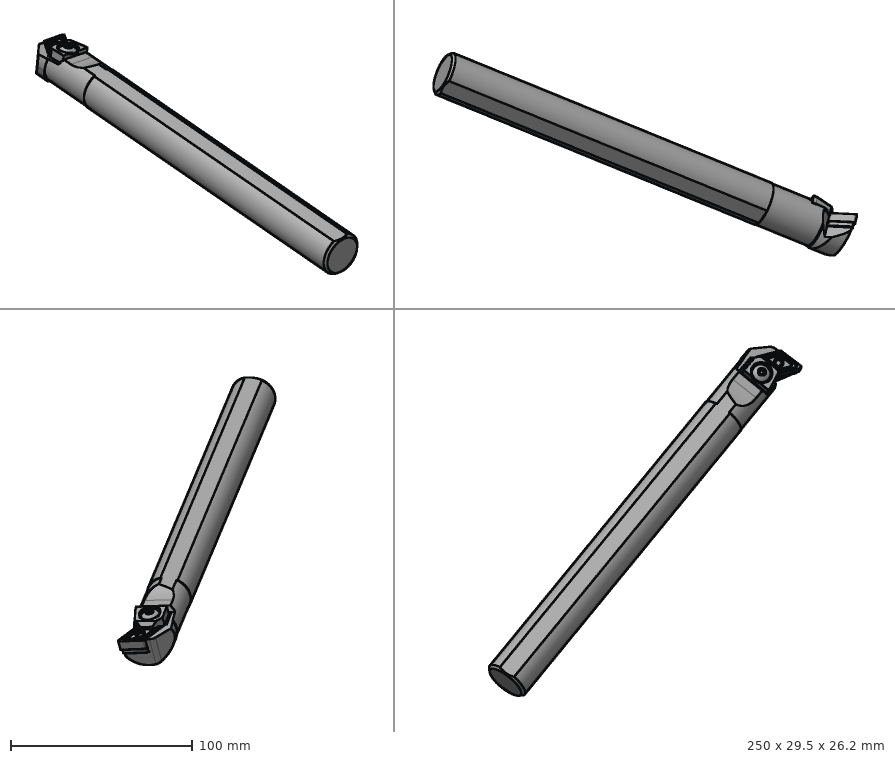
import cadquery as cq
import math

LENGTH = 250.0
SHANK_RADIUS = 12.5
NECK_RADIUS = 12.2
FLAT_HEIGHT = 11.5
NECK_END = 50.0
END_CHAMFER = 1.5
CLEAR = 50.0

HEAD_OFFSET = 2.2
HEAD_RADIUS = SHANK_RADIUS + HEAD_OFFSET
HEAD_END = 17.5
SWELL_SLOPE = 0.5
FRONT_ROUND = 4.5

TILT_X = math.radians(5.0)
TILT_Y = math.radians(11.0)
TOOL_PLANE = cq.Plane(
    origin=(0, 0, 3.8),
    xDir=(1, 0, math.tan(TILT_X)),
    normal=(-math.tan(TILT_X), math.tan(TILT_Y), 1),
)

WALL_START = 25.5
WALL_LEAN = math.radians(30.0)

RUNOUT_HEIGHT = 9.0
RUNOUT_START = WALL_START
RUNOUT_FLAT_END = 32.5
RUNOUT_RADIUS = 22.5

INSERT_CIRCLE = 12.8
INSERT_ANGLE = 55.0
INSERT_THICKNESS = 6.0
INSERT_NOSE = 0.8
INSERT_HOLE = 5.2
INSERT_CENTER = (6.5, 6.0)
INSERT_TURN = 119.5
LAND_WIDTH = 1.2
GROOVE_WIDTH = 1.2
GROOVE_DEPTH = 0.5

SHIM_THICKNESS = 3.0
SHIM_INSET = 0.5

PIN_DIAMETER = 3.5
PIN_DROP = 1.0

CLAMP_HEIGHT = 4.2
CLAMP_NOSE_X = 10.0
CLAMP_TAIL_X = 25.2
CLAMP_SIDE_Y = -5.8
NOSE_CHAMFER = 2.2
CLAMP_SEAT_DEPTH = 1.2
SEAT_GAP = 1.8
SCREW_CENTER = (19.5, 2.8)
SCREW_RADIUS = 5.2
SCREW_RISE = 0.8
CROWN_RADIUS = 2.2
SCREW_RECESS = 1.2
SCREW_GAP = 0.8
SOCKET_WIDTH = 3.0
SOCKET_DEPTH = 1.5


def x_cylinder(radius, start, end, y=0.0):
    return cq.Workplane("YZ", origin=(start, y, 0)).circle(radius).extrude(end - start)


def tool_sketch(height=0.0):
    """A workplane parallel to the tool plane, the given height above it."""
    return cq.Workplane(TOOL_PLANE).workplane(offset=height)


def diamond(bottom, top, inset=0.0):
    """Prism with the insert's outline, shrunk by the inset, between two heights above the tool plane."""
    half_angle = math.radians(INSERT_ANGLE / 2)
    inner_radius = INSERT_CIRCLE / 2 - inset
    half_long = inner_radius / math.sin(half_angle)
    half_short = inner_radius / math.cos(half_angle)
    return (
        tool_sketch(bottom)
        .center(*INSERT_CENTER)
        .transformed(rotate=(0, 0, INSERT_TURN))
        .polyline([(half_long, 0), (0, half_short), (-half_long, 0), (0, -half_short)])
        .close()
        .extrude(top - bottom)
        .edges(cq.selectors.ParallelDirSelector(TOOL_PLANE.zDir))
        .fillet(INSERT_NOSE)
    )


def half_space(bottom):
    """Block that spans the part in X and Y and rises from the given Z by the clearance."""
    block = cq.Workplane("XY", origin=(0, 0, bottom))
    return block.box(3 * LENGTH, CLEAR, CLEAR, centered=(True, True, False))


def make_shank():
    """Round shank with the lower flat."""
    shank = x_cylinder(SHANK_RADIUS, NECK_END, LENGTH).faces(">X").chamfer(END_CHAMFER)
    return shank.cut(half_space(-FLAT_HEIGHT - CLEAR))


def make_neck():
    """Round neck; in the head it thickens to the shank radius."""
    neck = x_cylinder(NECK_RADIUS, HEAD_END, NECK_END)
    return neck.union(x_cylinder(SHANK_RADIUS, -CLEAR, HEAD_END))


def make_swelling():
    """Lower half of the eccentric cylinder, tapering into the neck at its rear end."""
    cylinder = x_cylinder(HEAD_RADIUS, -CLEAR, HEAD_END, HEAD_OFFSET)
    taper_length = HEAD_END + CLEAR
    front_radius = NECK_RADIUS + SWELL_SLOPE * taper_length
    taper = (
        cq.Workplane("XY")
        .polyline([(-CLEAR, 0), (-CLEAR, front_radius), (HEAD_END, NECK_RADIUS), (HEAD_END, 0)])
        .close()
        .revolve(360, (0, 0, 0), (1, 0, 0))
    )
    return cylinder.intersect(half_space(-CLEAR)).intersect(taper)


def make_head_envelope():
    """Prism square to the tool plane that gives the head its front, corner and insert-side faces."""
    tip, front_corner, chamfer_end = (0.8, 15.5), (1.5, -2.5), (21.5, -20.5)
    throat, neck_side = (12.5, 8.0), (21.2, 16.2)
    rear = NECK_END + CLEAR
    outline = [tip, front_corner, chamfer_end, (rear, chamfer_end[1]), (rear, CLEAR),
               (neck_side[0], CLEAR), neck_side, throat]
    prism = tool_sketch(-CLEAR).polyline(outline).close().extrude(2 * CLEAR)
    corner_edge = cq.selectors.NearestToPointSelector(
        TOOL_PLANE.toWorldCoords((*front_corner, 0)).toTuple()
    )
    return prism.edges(corner_edge).fillet(FRONT_ROUND)


def make_head_top_cut():
    """Everything above the tool plane, back to the backward-leaning wall behind the clamp."""
    wall_top = WALL_START + CLEAR * math.tan(WALL_LEAN)
    return (
        cq.Workplane(TOOL_PLANE)
        .transformed(rotate=(90, 0, 0))
        .polyline([(-CLEAR, 0), (WALL_START, 0), (wall_top, CLEAR), (-CLEAR, CLEAR)])
        .close()
        .extrude(CLEAR, both=True)
    )


def make_runout_cut():
    """Flat behind the clamp wall, then a round rise back to the top of the bar."""
    arc_center_height = RUNOUT_HEIGHT + RUNOUT_RADIUS
    reach = RUNOUT_RADIUS * math.sin(math.radians(45))
    profile = (
        cq.Workplane("XZ")
        .moveTo(RUNOUT_START, RUNOUT_HEIGHT)
        .lineTo(RUNOUT_FLAT_END, RUNOUT_HEIGHT)
        .threePointArc(
            (RUNOUT_FLAT_END + reach, arc_center_height - reach),
            (RUNOUT_FLAT_END + RUNOUT_RADIUS, arc_center_height),
        )
        .lineTo(RUNOUT_START, arc_center_height)
        .close()
        .extrude(CLEAR, both=True)
    )
    return profile.rotate((0, 0, 0), (1, 0, 0), -math.degrees(TILT_Y))


def make_clamp():
    """Clamp block with a sloping nose over the insert; its foot sits in a recess of the head."""
    nose_corners = [(CLAMP_NOSE_X, 6.5), (CLAMP_NOSE_X, -0.8)]
    side_corners = [(15.2, CLAMP_SIDE_Y), (CLAMP_TAIL_X, CLAMP_SIDE_Y)]
    insert_side_corners = [(CLAMP_TAIL_X, 12.0), (23.0, 12.0), (13.2, 10.0)]
    outline = nose_corners + side_corners + insert_side_corners
    block = tool_sketch().polyline(outline).close().extrude(CLAMP_HEIGHT)
    nose_bevel = (
        cq.Workplane(TOOL_PLANE)
        .transformed(rotate=(90, 0, 0))
        .polyline([
            (CLAMP_NOSE_X, CLAMP_HEIGHT - NOSE_CHAMFER),
            (CLAMP_NOSE_X, CLAMP_HEIGHT),
            (CLAMP_NOSE_X + NOSE_CHAMFER, CLAMP_HEIGHT),
        ])
        .close()
        .extrude(CLEAR, both=True)
    )
    foot = tool_sketch(-CLAMP_SEAT_DEPTH).polyline(outline).close().extrude(CLAMP_SEAT_DEPTH)
    foot = foot.cut(diamond(-CLAMP_SEAT_DEPTH, 0))
    recess = (
        tool_sketch(CLAMP_HEIGHT - SCREW_RECESS)
        .center(*SCREW_CENTER)
        .circle(SCREW_RADIUS + SCREW_GAP)
        .extrude(SCREW_RECESS)
    )
    return block.cut(nose_bevel).cut(recess).union(foot)


def make_clamp_screw():
    """Domed screw head with a hexagonal socket."""
    bottom = CLAMP_HEIGHT - SCREW_RECESS
    crown = SCREW_RECESS + SCREW_RISE
    shoulder = (0.75 * SCREW_RADIUS, 0.6 * crown)
    dome = (
        cq.Workplane(TOOL_PLANE)
        .transformed(offset=(*SCREW_CENTER, bottom), rotate=(90, 0, 0))
        .lineTo(SCREW_RADIUS, 0)
        .threePointArc(shoulder, (CROWN_RADIUS, crown))
        .lineTo(0, crown)
        .close()
        .revolve(360, (0, 0, 0), (0, 1, 0))
    )
    socket = (
        tool_sketch(bottom + crown - SOCKET_DEPTH)
        .center(*SCREW_CENTER)
        .polygon(6, SOCKET_WIDTH)
        .extrude(SOCKET_DEPTH)
    )
    return dome.cut(socket)


def make_clamp_seat():
    """Shallow recess that leaves a gap along the back side of the clamp."""
    seat_y = CLAMP_SIDE_Y - SEAT_GAP
    nose_corner, side_corner, far_corner = (11.0, -3.5), (15.0, seat_y), (20.0, CLEAR / 2)
    outline = [nose_corner, side_corner, (WALL_START, seat_y), (WALL_START, CLEAR / 2), far_corner]
    return tool_sketch(-CLAMP_SEAT_DEPTH).polyline(outline).close().extrude(CLAMP_SEAT_DEPTH)


def make_holder():
    pocket_bottom = -INSERT_THICKNESS - SHIM_THICKNESS
    head = make_neck().union(make_swelling()).intersect(make_head_envelope())
    head = head.cut(make_head_top_cut()).cut(make_runout_cut()).cut(make_clamp_seat())
    head = head.cut(diamond(pocket_bottom, 0))
    shim = diamond(pocket_bottom, -INSERT_THICKNESS, SHIM_INSET)
    pin = (
        tool_sketch(pocket_bottom)
        .center(*INSERT_CENTER)
        .circle(PIN_DIAMETER / 2)
        .extrude(-PIN_DROP - pocket_bottom)
    )
    bar = make_shank().union(head).cut(half_space(FLAT_HEIGHT))
    holder = bar.union(shim).union(pin)
    return holder.union(make_clamp()).union(make_clamp_screw())


def make_insert():
    """Diamond with a centre hole and a chip groove running around its top face."""
    insert = diamond(-INSERT_THICKNESS, 0)
    hole = tool_sketch(-INSERT_THICKNESS).center(*INSERT_CENTER).circle(INSERT_HOLE / 2)
    groove = diamond(-GROOVE_DEPTH, 0, LAND_WIDTH).cut(
        diamond(-GROOVE_DEPTH, 0, LAND_WIDTH + GROOVE_WIDTH)
    )
    return insert.cut(hole.extrude(INSERT_THICKNESS)).cut(groove)


holder = make_holder()
insert = make_insert()
result = cq.Compound.makeCompound([holder.val(), insert.val()])